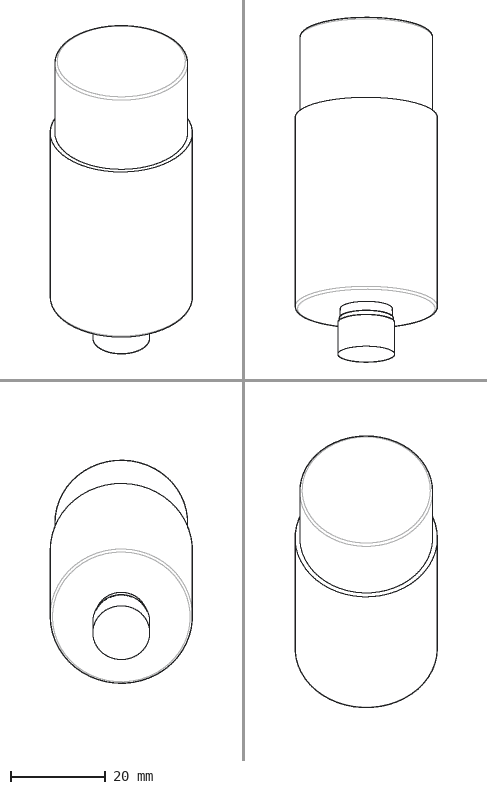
import cadquery as cq

total_length = 70.0

body_diameter = 30.0
body_bottom = 10.0
body_length = 42.0
body_bottom_radius = 0.5

head_diameter = 28.0
head_edge_radius = 0.5

plug_diameter = 12.0
plug_length = 7.0
collar_diameter = 11.4
collar_top = 8.0
neck_diameter = 11.0

body_top = body_bottom + body_length


def cylinder(diameter, bottom, top):
    """Upright cylinder on the Z axis between two heights."""
    return cq.Workplane("XY").workplane(offset=bottom).circle(diameter / 2).extrude(top - bottom)


def make_body():
    body = cylinder(body_diameter, body_bottom, body_top)
    return body.faces("<Z").edges().fillet(body_bottom_radius)


def make_head():
    head = cylinder(head_diameter, body_top, total_length)
    return head.faces(">Z").edges().fillet(head_edge_radius)


def make_connector():
    plug = cylinder(plug_diameter, 0, plug_length)
    collar = cylinder(collar_diameter, plug_length, collar_top)
    neck = cylinder(neck_diameter, collar_top, body_bottom)
    return plug.union(collar).union(neck)


result = make_body().union(make_head()).union(make_connector())